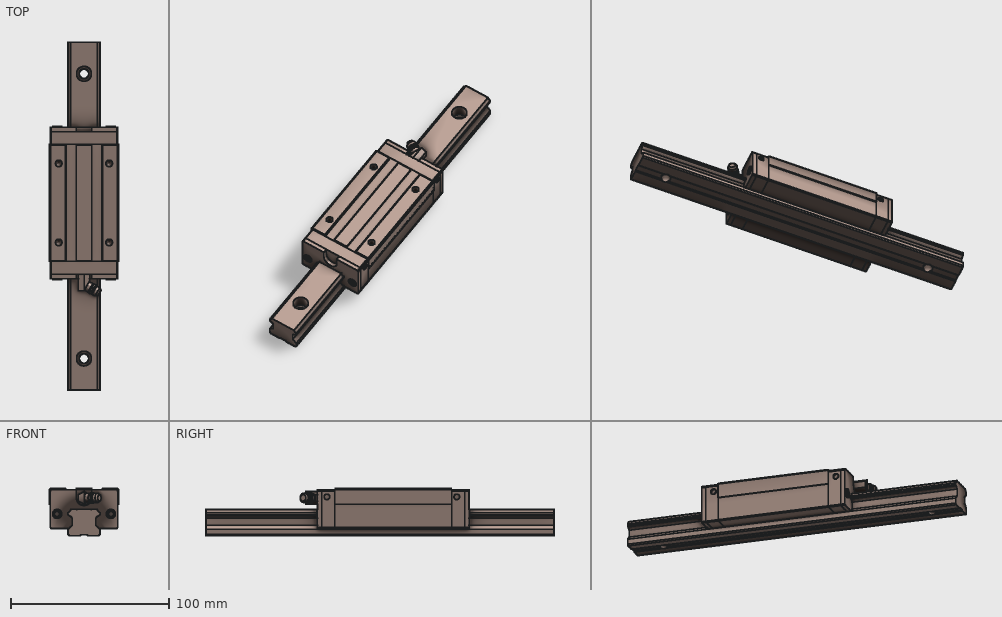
import cadquery as cq
import math

rail_length = 220.0
rail_height = 16.7
rail_half_width = 10.1
rail_nose_chamfer = 0.7
rail_top_half = 8.4
rail_waist_half = 7.5
rail_nose_top = 15.2
rail_nose_bottom = 12.8
raceway_sag = 0.2
rail_waist_top = 11.2
rail_waist_bottom = 6.5
rail_base_top = 4.2
rail_base_chamfer = 0.9
rail_relief_half = 2.6
rail_relief_depth = 0.7
rail_hole_diameter = 6.0
rail_bore_diameter = 9.5
rail_bore_depth = 8.5
rail_hole_spacing = 180.0

carriage_y = 8.4
carriage_bottom = 4.6
block_length = 74.0
block_half_width = 22.0
block_top = 30.0
block_ledge = 20.0
block_chamfer = 0.9
groove_depth = 0.7
pad_end_inset = 0.5
pad_inner_half = 11.9
centre_pad_half = 4.8
bottom_chamfer = 0.7

cap_length = 8.1
cap_half_width = 21.3
cap_top = block_top - groove_depth
cap_chamfer_width = 0.7
cap_chamfer_height = 1.0
seal_length = 2.9

mount_hole_diameter = 4.2
mount_hole_depth = 6.0
mount_spacing_x = 32.0
mount_spacing_y = 50.0
drill_tip_angle = 118.0

side_hole_diameter = 3.5
side_hole_depth = 1.0
side_hole_z = 24.6
side_hole_shift = 0.9

notch_radius = 4.8
port_z = 24.0

screw_x = 17.0
screw_z = 13.9
screw_diameter = 5.7
screw_dish_diameter = 4.2
screw_dish_depth = 0.5
screw_height = 0.5
cross_length = 3.5
cross_width = 1.5
cross_depth = 1.0

hex_across_flats = 7.0
hex_length = 10.3
nozzle_angle = 30.0
collar_radius = 3.0
collar_end = 2.6
spout_groove_radius = 2.1
flange_radius = 3.3
flange_start = 3.3
flange_end = 4.6
head_start = 5.5
head_radius = 2.97
head_end = 7.7
tip_radius = 2.1
nozzle_length = 9.2

block_end = block_length / 2
cap_end = block_end + cap_length
seal_end = cap_end + seal_length


def extrude_y(outline, y_start, y_end):
    """Extrude a closed XZ outline from y_start to y_end."""
    return outline.extrude(y_start - y_end).translate((0, y_start, 0))


def mirrored_outline(half):
    """Close a right-hand XZ outline with its mirror image in X = 0."""
    return cq.Workplane("XZ").polyline(half + [(-x, z) for x, z in reversed(half)]).close()


def raceway_middle(start, end):
    """Middle point of a concave raceway arc, sunk into the rail from the chord's middle."""
    dx = end[0] - start[0]
    dz = end[1] - start[1]
    chord = math.hypot(dx, dz)
    middle_x = (start[0] + end[0]) / 2
    middle_z = (start[1] + end[1]) / 2
    return (middle_x - raceway_sag * abs(dz) / chord, middle_z - raceway_sag * dx / chord)


def rail_outline():
    waist_corner = (rail_waist_half, rail_waist_top)
    nose_low = (rail_half_width - rail_nose_chamfer, rail_nose_bottom)
    nose_high = (rail_half_width - rail_nose_chamfer, rail_nose_top)
    top_corner = (rail_top_half, rail_height)
    return (
        cq.Workplane("XZ")
        .moveTo(0, rail_relief_depth)
        .lineTo(rail_relief_half - rail_relief_depth, rail_relief_depth)
        .lineTo(rail_relief_half, 0)
        .lineTo(rail_half_width - rail_base_chamfer, 0)
        .lineTo(rail_half_width, rail_base_chamfer)
        .lineTo(rail_half_width, rail_base_top)
        .lineTo(rail_waist_half, rail_waist_bottom)
        .lineTo(*waist_corner)
        .threePointArc(raceway_middle(nose_low, waist_corner), nose_low)
        .lineTo(rail_half_width, rail_nose_bottom + rail_nose_chamfer)
        .lineTo(rail_half_width, rail_nose_top - rail_nose_chamfer)
        .lineTo(*nose_high)
        .threePointArc(raceway_middle(top_corner, nose_high), top_corner)
        .lineTo(0, rail_height)
        .mirrorY()
    )


def rail_bar():
    return extrude_y(rail_outline(), -rail_length / 2, rail_length / 2)


def make_rail():
    holes = (
        cq.Workplane("XY", origin=(0, 0, rail_height))
        .pushPoints([(0, -rail_hole_spacing / 2), (0, rail_hole_spacing / 2)])
    )
    through = holes.circle(rail_hole_diameter / 2).extrude(-rail_height)
    bores = holes.circle(rail_bore_diameter / 2).extrude(-rail_bore_depth)
    return rail_bar().cut(through).cut(bores)


def mount_hole(x, y):
    """Blind hole from the block top with a conical drill tip."""
    radius = mount_hole_diameter / 2
    tip = radius / math.tan(math.radians(drill_tip_angle / 2))
    return (
        cq.Workplane("XZ")
        .polyline([
            (0, 0),
            (radius, 0),
            (radius, -mount_hole_depth),
            (0, -mount_hole_depth - tip),
        ])
        .close()
        .revolve(360, (0, 0, 0), (0, 1, 0))
        .translate((x, y, block_top))
    )


def make_block():
    half = [
        (cap_half_width - bottom_chamfer, carriage_bottom),
        (cap_half_width, carriage_bottom + bottom_chamfer),
        (cap_half_width, block_ledge),
        (block_half_width, block_ledge),
        (block_half_width, block_top - block_chamfer),
        (block_half_width - block_chamfer, block_top),
        (pad_inner_half, block_top),
        (pad_inner_half - groove_depth, block_top - groove_depth),
        (centre_pad_half, block_top - groove_depth),
        (centre_pad_half, block_top),
    ]
    block = extrude_y(mirrored_outline(half), carriage_y - block_end, carriage_y + block_end)
    for side in (-1, 1):
        end_step = (
            cq.Workplane("XY")
            .box(2 * block_half_width, 2 * pad_end_inset, 2 * groove_depth)
            .translate((0, carriage_y + side * block_end, block_top))
        )
        block = block.cut(end_step)
    for x in (-mount_spacing_x / 2, mount_spacing_x / 2):
        for y in (-mount_spacing_y / 2, mount_spacing_y / 2):
            block = block.cut(mount_hole(x, carriage_y + y))
    return block.cut(rail_bar())


def end_plate(y_start, y_end):
    """Plate with the outline shared by end caps and end seals, cut out around the rail."""
    half = [
        (cap_half_width - bottom_chamfer, carriage_bottom),
        (cap_half_width, carriage_bottom + bottom_chamfer),
        (cap_half_width, cap_top - cap_chamfer_height),
        (cap_half_width - cap_chamfer_width, cap_top),
    ]
    return extrude_y(mirrored_outline(half), y_start, y_end).cut(rail_bar())


def make_cap(side):
    """End cap on the +Y (side = 1) or -Y (side = -1) end of the block."""
    ends = sorted((carriage_y + side * block_end, carriage_y + side * cap_end))
    cap = end_plate(*ends)
    hole_y = sum(ends) / 2 - side_hole_shift
    for x_side in (-1, 1):
        hole = (
            cq.Workplane("YZ", origin=(x_side * cap_half_width, 0, 0))
            .center(hole_y, side_hole_z)
            .circle(side_hole_diameter / 2)
            .extrude(-x_side * side_hole_depth)
        )
        cap = cap.cut(hole)
    return cap


def make_seal(side):
    """End seal outside a cap, with a round-bottomed port notch and two screw heads."""
    outer_y = carriage_y + side * seal_end
    ends = sorted((carriage_y + side * cap_end, outer_y))
    notch = (
        cq.Workplane("XZ")
        .moveTo(-notch_radius, block_top)
        .lineTo(-notch_radius, port_z)
        .threePointArc((0, port_z - notch_radius), (notch_radius, port_z))
        .lineTo(notch_radius, block_top)
        .close()
    )
    seal = end_plate(*ends).cut(extrude_y(notch, *ends))
    head_y = outer_y + side * screw_height
    for x in (-screw_x, screw_x):
        head = cq.Workplane("XZ").circle(screw_diameter / 2).extrude(-side * screw_height)
        dish = cq.Workplane("XZ").circle(screw_dish_diameter / 2).extrude(side * screw_dish_depth)
        seal = seal.union(head.translate((x, outer_y, screw_z)))
        seal = seal.cut(dish.translate((x, head_y, screw_z)))
        for width, height in ((cross_length, cross_width), (cross_width, cross_length)):
            bar = cq.Workplane("XZ").rect(width, height).extrude(side * cross_depth)
            seal = seal.cut(bar.translate((x, head_y, screw_z)))
    return seal


def make_nipple():
    """Hexagonal elbow with one end corner cut square to an angled, grooved spout."""
    base_y = carriage_y - cap_end
    hex_corners = hex_across_flats / math.cos(math.radians(30))
    elbow = (
        cq.Workplane("XZ")
        .transformed(rotate=(0, 0, 90))
        .polygon(6, hex_corners)
        .extrude(hex_length)
        .translate((0, base_y, port_z))
    )

    angle = math.radians(nozzle_angle)
    direction = cq.Vector(math.cos(angle), -math.sin(angle), 0)
    face_start = cq.Vector(0, base_y - hex_length, port_z)
    along_face = cq.Vector(math.sin(angle), math.cos(angle), 0)
    face_centre = face_start + along_face * (hex_across_flats / 4 / math.sin(angle))
    spout_plane = cq.Plane(origin=face_centre, xDir=along_face, normal=direction)

    corner_cut = cq.Workplane(spout_plane).rect(hex_length, hex_length).extrude(hex_length)
    profile = [
        (0, 0),
        (collar_radius, 0),
        (collar_radius, collar_end),
        (spout_groove_radius, collar_end),
        (spout_groove_radius, flange_start),
        (flange_radius, flange_start),
        (flange_radius, flange_end),
        (spout_groove_radius, flange_end),
        (spout_groove_radius, head_start),
        (head_radius, head_start),
        (head_radius, head_end),
        (tip_radius, nozzle_length),
        (0, nozzle_length),
    ]
    spout = cq.Workplane("XZ").polyline(profile).close().revolve(360, (0, 0, 0), (0, 1, 0))
    spout = spout.val().moved(cq.Location(spout_plane))
    return elbow.cut(corner_cut).union(cq.Workplane(spout))


rail = make_rail()
block = make_block()
caps = [make_cap(side) for side in (-1, 1)]
seals = [make_seal(side) for side in (-1, 1)]
nipple = make_nipple()

result = cq.Compound.makeCompound([
    rail.val(),
    block.val(),
    *[cap.val() for cap in caps],
    *[seal.val() for seal in seals],
    nipple.val(),
])